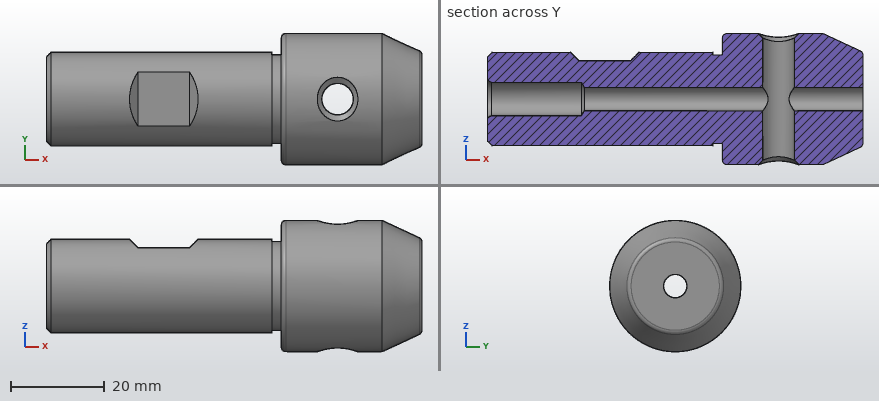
import cadquery as cq
import math

total_length = 80.0
shank_length = 48.0
neck_length = 2.0
head_start = shank_length + neck_length

shank_diameter = 20.0
neck_diameter = 19.0
head_diameter = 28.0
shank_radius = shank_diameter / 2
head_radius = head_diameter / 2

shank_chamfer = 1.0
head_fillet = 1.0
nose_fillet = 1.0
nose_length = 8.5
nose_angle = 25.0
nose_radius = head_radius - nose_length * math.tan(math.radians(nose_angle))

through_diameter = 4.92
pilot_diameter = 7.0
pilot_depth = 20.0
mouth_diameter = 8.0
mouth_angle = 60.0
drill_point_angle = 118.0

flat_center = 25.0
flat_length = 11.0
flat_height = 8.2

cross_hole_diameter = 6.65
cross_hole_position = 62.0
cross_hole_bevel = 1.0


def make_body():
    """Shank, neck and head with a tapered nose, revolved about X."""
    neck_radius = neck_diameter / 2
    profile = (
        cq.Workplane("XZ")
        .moveTo(0, 0)
        .lineTo(0, shank_radius - shank_chamfer)
        .lineTo(shank_chamfer, shank_radius)
        .lineTo(shank_length, shank_radius)
        .lineTo(shank_length, neck_radius)
        .lineTo(head_start, neck_radius)
        .lineTo(head_start, head_radius)
        .lineTo(total_length - nose_length, head_radius)
        .lineTo(total_length, nose_radius)
        .lineTo(total_length, 0)
        .close()
    )
    return profile.revolve(360, (0, 0, 0), (1, 0, 0))


def round_head(body):
    """Round the rear rim of the head and the rim of the nose."""
    edge_tolerance = 0.1
    rim_reach = head_radius + edge_tolerance
    rear_edges = cq.selectors.BoxSelector(
        (head_start - edge_tolerance, -rim_reach, -rim_reach),
        (head_start + edge_tolerance, rim_reach, rim_reach),
    )
    body = body.edges(rear_edges).edges(cq.selectors.RadiusNthSelector(-1)).fillet(head_fillet)
    return body.faces(">X").edges().fillet(nose_fillet)


def make_axial_bore():
    """Stepped cutter for the bore along X."""
    through_radius = through_diameter / 2
    pilot_radius = pilot_diameter / 2
    mouth_radius = mouth_diameter / 2
    mouth_depth = (mouth_radius - pilot_radius) / math.tan(math.radians(mouth_angle / 2))
    half_point_angle = math.radians(drill_point_angle / 2)
    cone_length = (pilot_radius - through_radius) / math.tan(half_point_angle)
    profile = (
        cq.Workplane("XZ")
        .moveTo(0, 0)
        .lineTo(0, mouth_radius)
        .lineTo(mouth_depth, pilot_radius)
        .lineTo(pilot_depth, pilot_radius)
        .lineTo(pilot_depth + cone_length, through_radius)
        .lineTo(total_length, through_radius)
        .lineTo(total_length, 0)
        .close()
    )
    return profile.revolve(360, (0, 0, 0), (1, 0, 0))


def make_flat_cutter():
    """Trapezoidal prism above the clamping flat."""
    wall_height = shank_radius - flat_height
    half_floor = flat_length / 2
    half_top = half_floor + wall_height
    outline = (
        cq.Workplane("XZ")
        .moveTo(flat_center - half_floor, flat_height)
        .lineTo(flat_center + half_floor, flat_height)
        .lineTo(flat_center + half_top, shank_radius)
        .lineTo(flat_center - half_top, shank_radius)
        .close()
    )
    return outline.extrude(shank_radius, both=True)


def make_countersink():
    """Elliptic cone for the upper rim of the cross hole.

    It leaves the bevel contacts of a ball of radius cross_hole_bevel that touches both the
    hole wall and the head surface, in the XZ and YZ planes through the hole axis.
    """
    hole_radius = cross_hole_diameter / 2
    ball_offset = hole_radius + cross_hole_bevel
    ball_orbit = head_radius - cross_hole_bevel

    wall_height = math.sqrt(ball_orbit**2 - ball_offset**2)
    surface_scale = head_radius / ball_orbit
    rim_offset = ball_offset * surface_scale
    rim_height = wall_height * surface_scale
    side_slope = (rim_offset - hole_radius) / (rim_height - wall_height)

    cone_height = head_radius - wall_height
    bottom_x = ball_offset - cone_height
    top_y = hole_radius + cone_height * side_slope
    return (
        cq.Workplane("XY", origin=(cross_hole_position, 0, wall_height))
        .ellipse(bottom_x, hole_radius)
        .workplane(offset=cone_height)
        .ellipse(ball_offset, top_y)
        .loft(ruled=True)
    )


def make_cross_hole():
    """Cutter for the hole along Z, countersunk on both sides of the head."""
    drill = (
        cq.Workplane("XY", origin=(cross_hole_position, 0, -head_radius))
        .circle(cross_hole_diameter / 2)
        .extrude(head_diameter)
    )
    countersink = make_countersink()
    return drill.union(countersink).union(countersink.mirror("XY"))


result = round_head(make_body())
result = result.cut(make_axial_bore())
result = result.cut(make_flat_cutter())
result = result.cut(make_cross_hole())